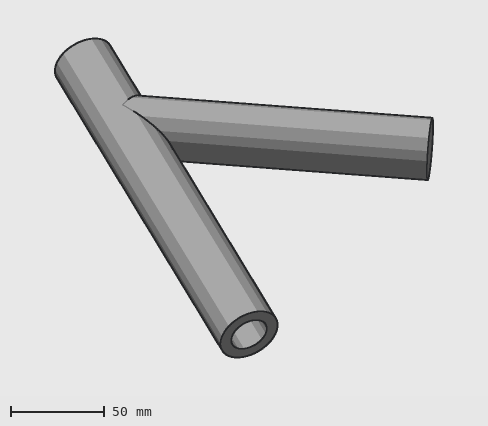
import cadquery as cq
import math

tube_length = 216.0
outer_diameter = 33.5
bore_diameter = 20.7
branch_position = 50.7
branch_length = 165.0
branch_angle = 60.0

tube_body = cq.Workplane("YZ").circle(outer_diameter / 2).extrude(tube_length)

branch_direction = (
    math.cos(math.radians(branch_angle)),
    math.sin(math.radians(branch_angle)),
    0,
)
branch_plane = cq.Plane(
    origin=(branch_position, 0, 0),
    xDir=(0, 0, 1),
    normal=branch_direction,
)
branch = cq.Workplane(branch_plane).circle(outer_diameter / 2).extrude(branch_length)

bore = cq.Workplane("YZ").circle(bore_diameter / 2).extrude(tube_length)

result = tube_body.union(branch).cut(bore)